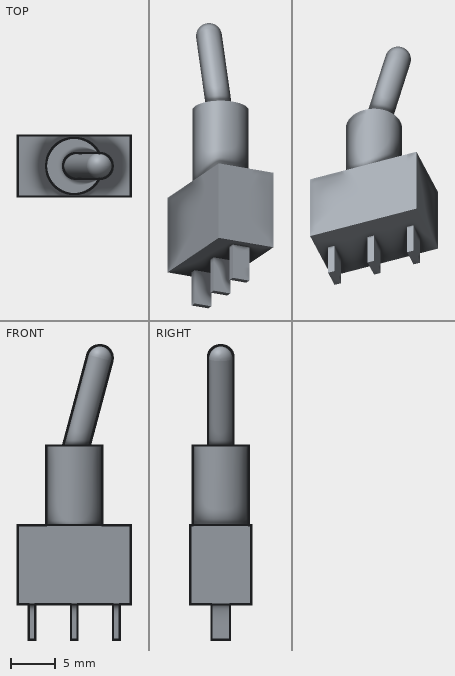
import cadquery as cq
import math

HOUSING_LENGTH = 12.7
HOUSING_WIDTH = 6.87
HOUSING_HEIGHT = 8.88

BUSHING_DIAMETER = 6.3
BUSHING_HEIGHT = 8.95
BUSHING_TOP = HOUSING_HEIGHT + BUSHING_HEIGHT

TERMINAL_COUNT = 3
TERMINAL_PITCH = 4.72
TERMINAL_THICKNESS = 0.75
TERMINAL_WIDTH = 2.08
TERMINAL_LENGTH = 3.95

OVERALL_HEIGHT = 33.02
LEVER_DIAMETER = 2.9
LEVER_RADIUS = LEVER_DIAMETER / 2
LEVER_TILT = 15.0
PIVOT_DEPTH = 0.92
PIVOT_HEIGHT = BUSHING_TOP - PIVOT_DEPTH
LEVER_TOP = OVERALL_HEIGHT - TERMINAL_LENGTH
SHANK_LENGTH = (LEVER_TOP - LEVER_RADIUS - PIVOT_HEIGHT) / math.cos(math.radians(LEVER_TILT))


def make_housing():
    return cq.Workplane("XY").box(
        HOUSING_LENGTH, HOUSING_WIDTH, HOUSING_HEIGHT, centered=(True, True, False)
    )


def make_lever():
    """Revolve a round-tipped rod, then tilt it and raise it to the pivot."""
    tip_arc_middle = LEVER_RADIUS * math.sqrt(0.5)
    upright = (
        cq.Workplane("XZ")
        .lineTo(LEVER_RADIUS, 0)
        .lineTo(LEVER_RADIUS, SHANK_LENGTH)
        .threePointArc(
            (tip_arc_middle, SHANK_LENGTH + tip_arc_middle),
            (0, SHANK_LENGTH + LEVER_RADIUS),
        )
        .close()
        .revolve(360, (0, 0, 0), (0, 1, 0))
    )
    tilted = upright.rotate((0, 0, 0), (0, 1, 0), LEVER_TILT)
    return tilted.translate((0, 0, PIVOT_HEIGHT))


def make_bushing(lever):
    """Cylinder with a recess that matches the seated end of the lever."""
    cylinder = (
        cq.Workplane("XY")
        .workplane(offset=HOUSING_HEIGHT)
        .circle(BUSHING_DIAMETER / 2)
        .extrude(BUSHING_HEIGHT)
    )
    return cylinder.cut(lever)


def make_terminal(x):
    return (
        cq.Workplane("XY")
        .center(x, 0)
        .rect(TERMINAL_THICKNESS, TERMINAL_WIDTH)
        .extrude(-TERMINAL_LENGTH)
    )


housing = make_housing()
lever = make_lever()
bushing = make_bushing(lever)

first_terminal_x = -TERMINAL_PITCH * (TERMINAL_COUNT - 1) / 2
terminals = []
for index in range(TERMINAL_COUNT):
    terminal = make_terminal(first_terminal_x + index * TERMINAL_PITCH)
    terminals.append(terminal.val())

result = cq.Compound.makeCompound([housing.val(), bushing.val(), lever.val(), *terminals])